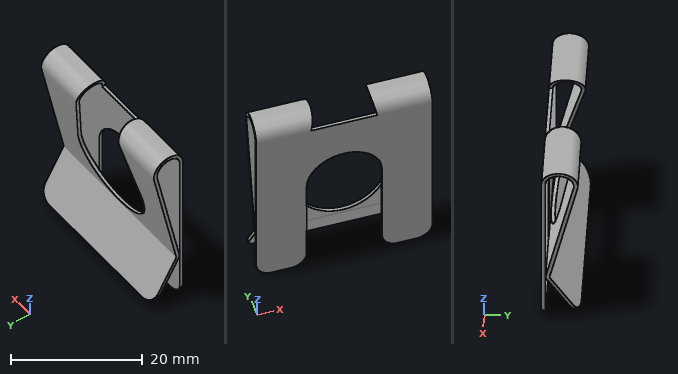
import cadquery as cq
import math

width = 28.0
height = 34.0
thickness = 0.6
bend_radius = 2.8
leaf_angle = math.radians(11.4)
kink_height = 9.55
kink_radius = 0.2
flare_angle = math.radians(30)
flare_length = 9.4
slot_width = 12.0
opening_height = 18.0
hole_radius = 8.0
notch_angle = math.radians(12.5)
corner_radius = 2.5

leaf_along = cq.Vector(-math.sin(leaf_angle), -math.cos(leaf_angle))
leaf_normal = cq.Vector(math.cos(leaf_angle), -math.sin(leaf_angle))
flare_along = cq.Vector(math.sin(flare_angle), -math.cos(flare_angle))
flare_normal = cq.Vector(math.cos(flare_angle), math.sin(flare_angle))

bend_center = cq.Vector(bend_radius, height - bend_radius)
leaf_drop = bend_center.y - (bend_radius + kink_radius) * math.sin(leaf_angle) - kink_height
leaf_length = leaf_drop / math.cos(leaf_angle)
kink_center = bend_center + leaf_normal * (bend_radius + kink_radius) + leaf_along * leaf_length
flare_end = kink_center + flare_along * flare_length


def at_angle(center, radius, angle):
    return center + cq.Vector(math.cos(angle), math.sin(angle)) * radius


def strip_face(depth):
    """Points along one face of the strip, at a depth below its outer face."""
    bend = bend_radius - depth
    kink = kink_radius + depth
    kink_middle = math.pi + (flare_angle - leaf_angle) / 2
    return [
        cq.Vector(depth, 0),
        cq.Vector(depth, bend_center.y),
        at_angle(bend_center, bend, math.pi / 2),
        bend_center + leaf_normal * bend,
        kink_center - leaf_normal * kink,
        at_angle(kink_center, kink, kink_middle),
        kink_center - flare_normal * kink,
        flare_end - flare_normal * kink,
    ]


def bent_strip():
    outer = [point.toTuple()[:2] for point in strip_face(0)]
    inner = [point.toTuple()[:2] for point in reversed(strip_face(thickness))]
    profile = (
        cq.Workplane("YZ")
        .moveTo(*outer[0])
        .lineTo(*outer[1])
        .threePointArc(outer[2], outer[3])
        .lineTo(*outer[4])
        .threePointArc(outer[5], outer[6])
        .lineTo(*outer[7])
        .lineTo(*inner[0])
        .lineTo(*inner[1])
        .threePointArc(inner[2], inner[3])
        .lineTo(*inner[4])
        .threePointArc(inner[5], inner[6])
        .lineTo(*inner[7])
        .close()
    )
    return profile.extrude(width / 2, both=True)


def plate_slot():
    """Round-topped slot through the flat plate, open at the bottom."""
    half = slot_width / 2
    return (
        cq.Workplane("XZ")
        .moveTo(-half, 0)
        .lineTo(-half, opening_height)
        .threePointArc((0, opening_height + half), (half, opening_height))
        .lineTo(half, 0)
        .close()
        .extrude(-thickness)
    )


def leaf_opening():
    """Round hole in the leaf whose tangent sides run up through the top bend."""
    tangent_x = hole_radius * math.cos(notch_angle)
    tangent_z = opening_height + hole_radius * math.sin(notch_angle)
    top_x = tangent_x - (height - tangent_z) * math.tan(notch_angle)
    opening = (
        cq.Workplane("XZ")
        .moveTo(-top_x, height)
        .lineTo(-tangent_x, tangent_z)
        .threePointArc((0, opening_height - hole_radius), (tangent_x, tangent_z))
        .lineTo(top_x, height)
        .close()
        .extrude(-2 * bend_radius)
    )
    plate_zone = cq.Workplane("XY").box(width, thickness, bend_center.y, centered=(True, False, False))
    return opening.cut(plate_zone)


def round_corner(body, x, y, z):
    """Round the through-thickness edge nearest to a free corner of the strip."""
    return body.edges(cq.selectors.NearestToPointSelector((x, y, z))).fillet(corner_radius)


result = bent_strip().cut(plate_slot()).cut(leaf_opening())

flare_middle = flare_end - flare_normal * (kink_radius + thickness / 2)
for side in (-1, 1):
    for corner_x in (side * width / 2, side * slot_width / 2):
        result = round_corner(result, corner_x, thickness / 2, 0)
    result = round_corner(result, side * width / 2, flare_middle.x, flare_middle.y)